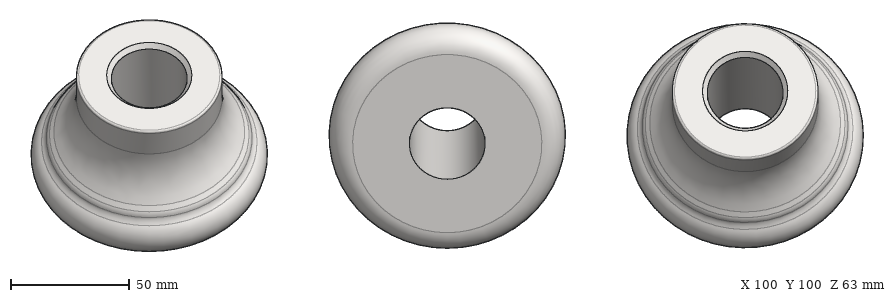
import cadquery as cq
import math

height = 63.0
outer_radius = 50.0

bore_radius = 32.01 / 2
bore_chamfer = 2.0

neck_radius = 61.7 / 2
neck_base_z = 48.3
rim_fillet = 1.0

flare_radius = 32.4
cone_angle = math.radians(45)

bead_radius = 10.0
bead_center_r = outer_radius - bead_radius
bead_center_z = bead_radius

blend_radius = 5.0
convex_center_z = 2 * bead_radius


def on_circle(center, radius, angle):
    """Profile point (r, z) at an angle from the outward direction on a circle."""
    return (
        center[0] + radius * math.cos(angle),
        center[1] + radius * math.sin(angle),
    )


def meet_of_circles(center_a, radius_a, center_b, radius_b):
    """Outer one of the two points where two circles in the profile plane cross."""
    span_r = center_b[0] - center_a[0]
    span_z = center_b[1] - center_a[1]
    span = math.hypot(span_r, span_z)
    opening = math.acos((radius_a**2 + span**2 - radius_b**2) / (2 * radius_a * span))
    return on_circle(center_a, radius_a, math.atan2(span_z, span_r) - opening)


def direction(start, end):
    """Angle of the line from one profile point to another."""
    return math.atan2(end[1] - start[1], end[0] - start[0])


def build_foot():
    """Bell-shaped foot turned about Z: neck, flare, cone, S-shaped blend and bead."""
    flare_center = (neck_radius + flare_radius, neck_base_z)
    flare_mid = on_circle(flare_center, flare_radius, math.pi + cone_angle / 2)
    flare_end = on_circle(flare_center, flare_radius, math.pi + cone_angle)

    cone_sum = flare_end[0] + flare_end[1]
    convex_center_r = cone_sum - blend_radius / math.cos(cone_angle) - convex_center_z
    convex_center = (convex_center_r, convex_center_z)
    convex_start = on_circle(convex_center, blend_radius, cone_angle)

    bead_center = (bead_center_r, bead_center_z)
    concave_center = meet_of_circles(
        bead_center, bead_radius + blend_radius, convex_center, 2 * blend_radius
    )
    inflection_angle = direction(convex_center, concave_center)
    contact_angle = direction(bead_center, concave_center)
    convex_mid = on_circle(convex_center, blend_radius, (cone_angle + inflection_angle) / 2)
    inflection = on_circle(convex_center, blend_radius, inflection_angle)
    concave_mid = on_circle(
        concave_center, blend_radius, math.pi + (inflection_angle + contact_angle) / 2
    )

    contact = on_circle(bead_center, bead_radius, contact_angle)
    bead_mid = on_circle(bead_center, bead_radius, (contact_angle - math.pi / 2) / 2)

    rim_center = (neck_radius - rim_fillet, height - rim_fillet)
    rim_mid = on_circle(rim_center, rim_fillet, math.radians(45))

    return (
        cq.Workplane("XZ")
        .moveTo(bore_radius, 0)
        .lineTo(bead_center_r, 0)
        .threePointArc(bead_mid, contact)
        .threePointArc(concave_mid, inflection)
        .threePointArc(convex_mid, convex_start)
        .lineTo(*flare_end)
        .threePointArc(flare_mid, (neck_radius, neck_base_z))
        .lineTo(neck_radius, height - rim_fillet)
        .threePointArc(rim_mid, (neck_radius - rim_fillet, height))
        .lineTo(bore_radius + bore_chamfer, height)
        .lineTo(bore_radius, height - bore_chamfer)
        .close()
        .revolve(360, (0, 0, 0), (0, 1, 0))
    )


foot = build_foot()

result = cq.Compound.makeCompound([foot.val()])